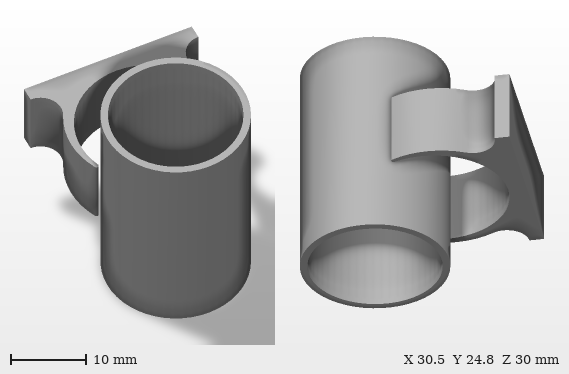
import cadquery as cq
import math

tube_radius = 10.0
tube_wall = 1.0
tube_length = 30.0
tube_x = 20.5

clip_width = 10.0
web_thickness = 2.5
plate_edge_thickness = 2.0
arm_offset = 1.0
arm_radius = tube_radius + tube_wall
root_radius = 3.0
tip_radius = 0.3

bore_x = web_thickness + tube_radius
arm_x = bore_x - arm_offset

root_x = plate_edge_thickness + root_radius
half_height = math.sqrt((arm_radius + root_radius) ** 2 - (arm_x - root_x) ** 2)

tip_to_arm = arm_radius - tip_radius
tip_to_bore = tube_radius + tip_radius
tip_x = (arm_x + bore_x) / 2 + (tip_to_arm ** 2 - tip_to_bore ** 2) / (2 * arm_offset)
tip_y = math.sqrt(tip_to_arm ** 2 - (tip_x - arm_x) ** 2)


def on_circle(center_x, center_y, radius, angle):
    return (center_x + radius * math.cos(angle), center_y + radius * math.sin(angle))


def make_tube():
    """Plain round tube standing along Z, centred on Z = 0."""
    return (
        cq.Workplane("XY", origin=(tube_x, 0, -tube_length / 2))
        .circle(tube_radius)
        .circle(tube_radius - tube_wall)
        .extrude(tube_length)
    )


def mirrored(point):
    """The same XY point on the other side of the clip's symmetry plane."""
    return (point[0], -point[1])


def make_clip():
    """Open C-shaped clip on a flat back plate, with rounded arm tips."""
    blend_angle = math.atan2(half_height, root_x - arm_x)
    blend = on_circle(arm_x, 0, arm_radius, blend_angle)

    root_mid_angle = math.pi + blend_angle / 2
    root_mid = on_circle(root_x, half_height, root_radius, root_mid_angle)

    outer_angle = math.atan2(tip_y, tip_x - arm_x)
    outer_tip = on_circle(arm_x, 0, arm_radius, outer_angle)
    outer_mid = on_circle(arm_x, 0, arm_radius, (blend_angle + outer_angle) / 2)

    inner_angle = math.atan2(tip_y, tip_x - bore_x)
    inner_tip = on_circle(bore_x, 0, tube_radius, inner_angle)

    tip_end_angle = (outer_angle + inner_angle - math.pi) / 2
    tip_end = on_circle(tip_x, tip_y, tip_radius, tip_end_angle)

    plate_corner = (plate_edge_thickness, half_height)

    return (
        cq.Workplane("XY", origin=(0, 0, -clip_width / 2))
        .moveTo(0, -half_height)
        .lineTo(0, half_height)
        .lineTo(*plate_corner)
        .threePointArc(root_mid, blend)
        .threePointArc(outer_mid, outer_tip)
        .threePointArc(tip_end, inner_tip)
        .threePointArc((web_thickness, 0), mirrored(inner_tip))
        .threePointArc(mirrored(tip_end), mirrored(outer_tip))
        .threePointArc(mirrored(outer_mid), mirrored(blend))
        .threePointArc(mirrored(root_mid), mirrored(plate_corner))
        .close()
        .extrude(clip_width)
    )


tube = make_tube()
clip = make_clip()

result = cq.Compound.makeCompound([tube.val(), clip.val()])